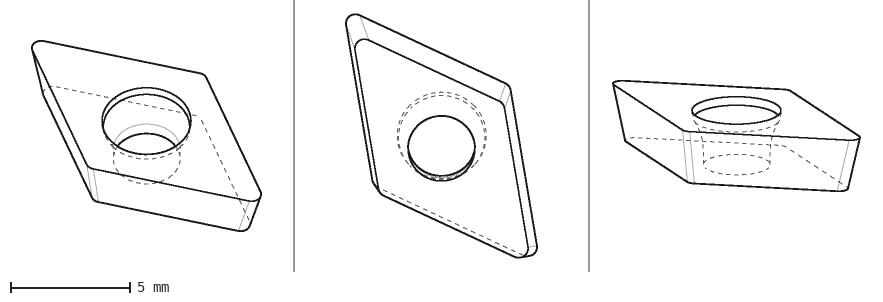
import cadquery as cq
import math

width = 6.35
thickness = 2.37
nose_angle = 55
clearance_angle = 7
nose_radius = 0.4

mouth_diameter = 3.73
seat_diameter = 3.61
bore_diameter = 2.8
lip_depth = 0.35
seat_radius = 2.6


def rounded_rhombus(flank_distance, height):
    """Wire of a rhombus with two edges along X, centred on the Z axis."""
    half_width = flank_distance / 2
    half_side = half_width / math.sin(math.radians(nose_angle))
    lean = half_width / math.tan(math.radians(nose_angle))
    corners = [
        (-half_side - lean, -half_width),
        (half_side - lean, -half_width),
        (half_side + lean, half_width),
        (-half_side + lean, half_width),
    ]
    wire = cq.Wire.makePolygon([cq.Vector(x, y, height) for x, y in corners], close=True)
    return wire.fillet2D(nose_radius, wire.Vertices())


def make_body():
    flank_inset = thickness * math.tan(math.radians(clearance_angle))
    bottom = rounded_rhombus(width - 2 * flank_inset, 0)
    top = rounded_rhombus(width, thickness)
    return cq.Workplane(cq.Solid.makeLoft([bottom, top], True))


def make_screw_hole():
    """Revolved cutter: tapered lip, curved seat tangent to the bore, bore."""
    bore_radius = bore_diameter / 2
    seat_top = thickness - lip_depth
    seat_step = seat_diameter / 2 - bore_radius
    seat_depth = math.sqrt(seat_radius**2 - (seat_radius - seat_step)**2)
    seat_bottom = seat_top - seat_depth
    half_turn = math.acos(1 - seat_step / seat_radius) / 2
    seat_middle = (
        bore_radius + seat_radius * (1 - math.cos(half_turn)),
        seat_bottom + seat_radius * math.sin(half_turn),
    )
    return (
        cq.Workplane("XZ")
        .lineTo(bore_radius, 0)
        .lineTo(bore_radius, seat_bottom)
        .threePointArc(seat_middle, (seat_diameter / 2, seat_top))
        .lineTo(mouth_diameter / 2, thickness)
        .lineTo(0, thickness)
        .close()
        .revolve(360, (0, 0, 0), (0, 1, 0))
    )


result = make_body().cut(make_screw_hole())